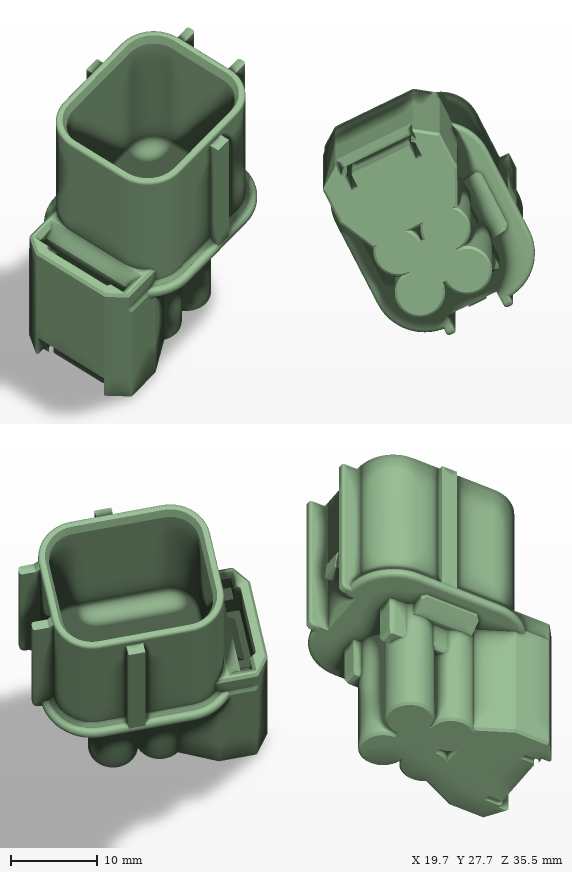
import cadquery as cq
import math

TOTAL_HEIGHT = 35.5
FLANGE_BOTTOM = 15.45
FLANGE_TOP = 16.65
RIB_TOP = 34.58

SHROUD_WIDTH = 16.97
SHROUD_LENGTH = 20.27
SHROUD_RADIUS = 4.72
SHROUD_RIM_FILLET = 0.32
HALF_WIDTH = SHROUD_WIDTH / 2
HALF_LENGTH = SHROUD_LENGTH / 2
WALL_THICKNESS = 1.25
MOUTH_BEVEL_WIDTH = 0.45
MOUTH_BEVEL_DEPTH = 1.0
CAVITY_FLOOR_FILLET = 0.43
BEVEL_SHARE = 0.99

FLANGE_WIDTH = 19.7
FLANGE_OVERHANG = (FLANGE_WIDTH - SHROUD_WIDTH) / 2
FLANGE_EDGE_FILLET = 0.55
ROOT_BEVEL = 0.5

SIDE_RIB_BACK = 2.3
SIDE_RIB_FRONT = 0.32
SIDE_RIB_BOTTOM = 16.33
SIDE_RIB_REACH = 9.73
BACK_RIB_INNER = 3.2
BACK_RIB_OUTER = 4.3
BACK_END = 12.53
BACK_RIB_TIP_FILLET = 0.32
BACK_RIB_FOOT_FILLET = 0.78
BACK_RIB_ROOT_BEVEL = 0.5

LUG_WIDTH = 2.3
LUG_END = 11.7
LUG_BOTTOM = 21.3
LUG_NOSE_TOP = 23.43
LUG_TOP = 25.55
LUG_NOSE_TAPER = 0.2

BARREL_DIAMETER = 5.82
BARREL_X = 3.05
BARREL_Y = 2.77
BOTTOM_BEVEL = 0.3

POST_BOTTOM = 10.33
POST_REACH = 5.4
POST_TIP_HEIGHT = 0.57
POST_TIP_INSET = 0.3
POST_CORNER_LENGTH = 0.55
POST_CORNER_DEPTH = 0.18
BACK_POST_SPAN = (4.6, 6.75)
MIDDLE_POST_SPAN = (-0.92, 0.95)

WEDGE_REACH = 8.02
WEDGE_ROOT = 6.05
WEDGE_LENGTH = 7.67
WEDGE_EDGE_HEIGHT = 0.35
WEDGE_BOTTOM = 13.8
WEDGE_END_BEVEL = 0.45

TOTAL_LENGTH = 27.7
HOUSING_TOP = 19.25
HOUSING_FRONT = BACK_END - TOTAL_LENGTH
HOUSING_HALF_WIDTH = 7.6
HOUSING_NOSE_HALF_WIDTH = 5.08
HOUSING_CORNER_Y = -13.35
HOUSING_SIDE_BACK = -8.85
HOUSING_NECK_HALF_WIDTH = 5.45
HOUSING_NECK_Y = -4.45
HOUSING_VERTICAL_FILLET = 0.35
COLLAR_INSET = 0.3
COLLAR_STEP_HEIGHT = 0.57
COLLAR_BACK = -7.1
COLLAR_TOP_BEVEL = 0.32

POCKET_HALF_WIDTH = 6.15
POCKET_FRONT = -13.15
POCKET_FLOOR = 16.33
POCKET_SIDE_BEVEL = 0.57
POCKET_FRONT_BEVEL = 0.35
RAMP_TOP_Y = -10.22
RAMP_FOOT_Y = -11.82
RAMP_FOOT_Z = 17.8
SLOT_HALF_WIDTH = 4.58
SLOT_FRONT = -13.9
SLOT_CORNER_RADIUS = 0.43
TONGUE_HALF_WIDTH = 3.75
TONGUE_FRONT = -13.65
TONGUE_TOP = 14.9
TONGUE_FILLET = 0.25
GUSSET_WIDTH = 5.45
GUSSET_SIZE = 1.05
WINDOW_HALF_WIDTH = 4.95
WINDOW_HEIGHT = 3.45


def box(x_min, x_max, y_min, y_max, z_min, z_max):
    """Block given by its limits on each axis."""
    size = (x_max - x_min, y_max - y_min, z_max - z_min)
    return cq.Workplane("XY").box(*size, centered=False).translate((x_min, y_min, z_min))


def rounded_block(margin, z_min, z_max):
    """Block with the shroud's outline moved outward by margin."""
    return (
        cq.Workplane("XY")
        .workplane(offset=z_min)
        .rect(SHROUD_WIDTH + 2 * margin, SHROUD_LENGTH + 2 * margin)
        .extrude(z_max - z_min)
        .edges("|Z")
        .fillet(SHROUD_RADIUS + margin)
    )


def side_profile(points, x_min, x_max):
    """Prism along X with the given (y, z) outline."""
    return cq.Workplane("YZ").workplane(offset=x_min).polyline(points).close().extrude(x_max - x_min)


def mirrored_pair(solid):
    """The solid together with its mirror image across X = 0."""
    return solid.union(solid.mirror("YZ"))


def make_shroud():
    return rounded_block(0, FLANGE_BOTTOM, TOTAL_HEIGHT).faces(">Z").edges().fillet(SHROUD_RIM_FILLET)


def make_flange():
    rim = rounded_block(FLANGE_OVERHANG, FLANGE_BOTTOM, FLANGE_TOP)
    rim = rim.faces("<Z or >Z").edges().fillet(FLANGE_EDGE_FILLET)
    root = rounded_block(ROOT_BEVEL, FLANGE_TOP, FLANGE_TOP + ROOT_BEVEL)
    root = root.faces(">Z").edges().chamfer(ROOT_BEVEL * BEVEL_SHARE)
    flange = rim.union(root)
    back_gap = box(
        -BACK_RIB_INNER, BACK_RIB_INNER, HALF_LENGTH, BACK_END, FLANGE_BOTTOM, FLANGE_TOP + ROOT_BEVEL
    )
    return flange.cut(back_gap)


def make_cavity():
    cavity = rounded_block(-WALL_THICKNESS, FLANGE_TOP, TOTAL_HEIGHT)
    cavity = cavity.faces("<Z").edges().fillet(CAVITY_FLOOR_FILLET)
    mouth = rounded_block(
        MOUTH_BEVEL_WIDTH - WALL_THICKNESS, TOTAL_HEIGHT - MOUTH_BEVEL_DEPTH, TOTAL_HEIGHT
    )
    mouth = mouth.faces("<Z").edges().chamfer(MOUTH_BEVEL_DEPTH * BEVEL_SHARE, MOUTH_BEVEL_WIDTH)
    return cavity.union(mouth)


def make_side_ribs():
    inner_x = HALF_WIDTH - WALL_THICKNESS / 2
    return mirrored_pair(
        box(inner_x, SIDE_RIB_REACH, SIDE_RIB_FRONT, SIDE_RIB_BACK, SIDE_RIB_BOTTOM, RIB_TOP)
    )


def make_back_ribs():
    root_y = HALF_LENGTH - WALL_THICKNESS / 2
    outline = [
        (root_y, FLANGE_BOTTOM),
        (BACK_END, FLANGE_BOTTOM),
        (BACK_END, RIB_TOP),
        (HALF_LENGTH + BACK_RIB_ROOT_BEVEL, RIB_TOP),
        (HALF_LENGTH, RIB_TOP + BACK_RIB_ROOT_BEVEL),
        (root_y, RIB_TOP + BACK_RIB_ROOT_BEVEL),
    ]
    rib = side_profile(outline, BACK_RIB_INNER, BACK_RIB_OUTER)
    rib = rib.edges(">Y and <Z").fillet(BACK_RIB_FOOT_FILLET)
    rib = rib.faces(">Y").edges("|Z").fillet(BACK_RIB_TIP_FILLET)
    return mirrored_pair(rib)


def make_lug():
    root_y = HALF_LENGTH - WALL_THICKNESS / 2
    outline = [
        (root_y, LUG_BOTTOM),
        (LUG_END, LUG_BOTTOM),
        (LUG_END - LUG_NOSE_TAPER, LUG_NOSE_TOP),
        (HALF_LENGTH, LUG_TOP),
        (root_y, LUG_TOP),
    ]
    return side_profile(outline, -LUG_WIDTH / 2, LUG_WIDTH / 2)


def make_barrels():
    barrel = cq.Workplane("XY").circle(BARREL_DIAMETER / 2).extrude(FLANGE_TOP)
    barrel = barrel.faces("<Z").edges().chamfer(BOTTOM_BEVEL)
    barrels = box(-BARREL_X, BARREL_X, -BARREL_Y, BARREL_Y, 0, FLANGE_TOP)
    for x in (-BARREL_X, BARREL_X):
        for y in (-BARREL_Y, BARREL_Y):
            barrels = barrels.union(barrel.translate((x, y, 0)))
    return barrels


def make_post(outline):
    """Pair of upright posts with the given plan outline and a tapered tip."""
    tip_angle = math.degrees(math.atan2(POST_TIP_INSET, POST_TIP_HEIGHT))
    tip_start = POST_BOTTOM + POST_TIP_HEIGHT
    base_plane = cq.Workplane("XY", origin=(0, 0, tip_start))
    shaft = base_plane.polyline(outline).close().extrude(FLANGE_TOP - tip_start)
    tip = base_plane.polyline(outline).close().extrude(-POST_TIP_HEIGHT, taper=tip_angle)
    return mirrored_pair(shaft.union(tip))


def make_posts():
    y_min, y_max = MIDDLE_POST_SPAN
    middle_post = make_post(
        [(BARREL_X, y_min), (POST_REACH, y_min), (POST_REACH, y_max), (BARREL_X, y_max)]
    )
    y_min, y_max = BACK_POST_SPAN
    back_post = make_post(
        [
            (BARREL_X, y_min),
            (POST_REACH, y_min),
            (POST_REACH, y_max - POST_CORNER_LENGTH),
            (POST_REACH - POST_CORNER_DEPTH, y_max),
            (BARREL_X, y_max),
        ]
    )
    return middle_post.union(back_post)


def make_wedges():
    outline = [
        (BARREL_X, FLANGE_TOP),
        (WEDGE_ROOT, FLANGE_TOP),
        (WEDGE_REACH, FLANGE_BOTTOM),
        (WEDGE_REACH, FLANGE_BOTTOM - WEDGE_EDGE_HEIGHT),
        (WEDGE_ROOT, WEDGE_BOTTOM),
        (BARREL_X, WEDGE_BOTTOM),
    ]
    wedge = cq.Workplane("XZ").polyline(outline).close().extrude(WEDGE_LENGTH / 2, both=True)
    wedge = wedge.faces(">X").edges("|Z").chamfer(WEDGE_END_BEVEL)
    return mirrored_pair(wedge)


def corner_slope():
    """Change in Y per unit of X along the housing's slanted front corners."""
    return (HOUSING_CORNER_Y - HOUSING_FRONT) / (HOUSING_HALF_WIDTH - HOUSING_NOSE_HALF_WIDTH)


def housing_outline(half_width, back_points):
    """Symmetric housing outline; back_points run along the +X side from the back to the front."""
    corner_y = HOUSING_FRONT + (half_width - HOUSING_NOSE_HALF_WIDTH) * corner_slope()
    right = back_points + [(half_width, corner_y), (HOUSING_NOSE_HALF_WIDTH, HOUSING_FRONT)]
    left = [(-x, y) for x, y in reversed(right)]
    return cq.Workplane("XY").polyline(right + left).close()


def round_front_corners(block):
    """Round the upright edges of the slanted front corners."""
    front_region = cq.selectors.BoxSelector(
        (-HOUSING_HALF_WIDTH - 0.35, HOUSING_FRONT - 0.35, 0),
        (HOUSING_HALF_WIDTH + 0.35, HOUSING_CORNER_Y + 0.35, HOUSING_TOP),
    )
    return block.edges("|Z").edges(front_region).fillet(HOUSING_VERTICAL_FILLET)


def make_housing_base():
    back = [(HOUSING_NECK_HALF_WIDTH, HOUSING_NECK_Y), (HOUSING_HALF_WIDTH, HOUSING_SIDE_BACK)]
    base = housing_outline(HOUSING_HALF_WIDTH, back).extrude(FLANGE_TOP)
    base = round_front_corners(base)
    base = base.faces("<Z").edges().chamfer(BOTTOM_BEVEL)
    slope_outline = [
        (HOUSING_HALF_WIDTH, FLANGE_TOP - COLLAR_STEP_HEIGHT),
        (HOUSING_HALF_WIDTH, FLANGE_TOP),
        (HOUSING_HALF_WIDTH - COLLAR_INSET, FLANGE_TOP),
    ]
    slope = cq.Workplane("XZ").polyline(slope_outline).close().extrude(-HOUSING_FRONT)
    return base.cut(mirrored_pair(slope))


def make_housing_collar():
    half_width = HOUSING_HALF_WIDTH - COLLAR_INSET
    collar = housing_outline(half_width, [(half_width, COLLAR_BACK)]).extrude(HOUSING_TOP - FLANGE_BOTTOM)
    collar = round_front_corners(collar).translate((0, 0, FLANGE_BOTTOM))
    return collar.faces(">Z").edges("not >Y").chamfer(COLLAR_TOP_BEVEL)


def make_pocket():
    outline = [
        (RAMP_TOP_Y, HOUSING_TOP),
        (RAMP_FOOT_Y, RAMP_FOOT_Z),
        (RAMP_FOOT_Y, POCKET_FLOOR),
        (POCKET_FRONT, POCKET_FLOOR),
        (POCKET_FRONT, HOUSING_TOP),
    ]
    pocket = side_profile(outline, -POCKET_HALF_WIDTH, POCKET_HALF_WIDTH)
    ramp_slope = (RAMP_TOP_Y - RAMP_FOOT_Y) / (HOUSING_TOP - RAMP_FOOT_Z)
    mouth_front = POCKET_FRONT - POCKET_FRONT_BEVEL
    bevel_back = RAMP_TOP_Y - ramp_slope * POCKET_SIDE_BEVEL
    mouth_centre = (mouth_front + RAMP_TOP_Y) / 2
    bevel_centre = (POCKET_FRONT + bevel_back) / 2
    mouth = (
        cq.Workplane("XY", origin=(0, mouth_centre, HOUSING_TOP))
        .rect(2 * (POCKET_HALF_WIDTH + POCKET_SIDE_BEVEL), RAMP_TOP_Y - mouth_front)
        .workplane(offset=-POCKET_SIDE_BEVEL)
        .center(0, bevel_centre - mouth_centre)
        .rect(2 * POCKET_HALF_WIDTH, bevel_back - POCKET_FRONT)
        .loft(ruled=True)
    )
    return pocket.union(mouth)


def make_slot():
    slot = box(-SLOT_HALF_WIDTH, SLOT_HALF_WIDTH, SLOT_FRONT, RAMP_FOOT_Y, 0, HOUSING_TOP)
    return slot.faces("<Y").edges("|Z").fillet(SLOT_CORNER_RADIUS)


def make_window():
    return box(-WINDOW_HALF_WIDTH, WINDOW_HALF_WIDTH, HOUSING_FRONT, SLOT_FRONT, 0, WINDOW_HEIGHT)


def make_tongue():
    tongue = box(-TONGUE_HALF_WIDTH, TONGUE_HALF_WIDTH, TONGUE_FRONT, RAMP_FOOT_Y, 0, TONGUE_TOP)
    tongue = tongue.faces("<Y").edges("|Z").fillet(TONGUE_FILLET)
    gusset_outline = [
        (RAMP_FOOT_Y, TONGUE_TOP),
        (RAMP_FOOT_Y - GUSSET_SIZE, TONGUE_TOP),
        (RAMP_FOOT_Y, TONGUE_TOP + GUSSET_SIZE),
    ]
    return tongue.union(side_profile(gusset_outline, -GUSSET_WIDTH / 2, GUSSET_WIDTH / 2))


body = make_barrels().union(make_housing_base())
body = body.union(make_housing_collar())
body = body.cut(make_pocket()).cut(make_slot()).cut(make_window()).union(make_tongue())
for feature in (make_posts(), make_wedges(), make_flange(), make_shroud()):
    body = body.union(feature)
for feature in (make_side_ribs(), make_back_ribs(), make_lug()):
    body = body.union(feature)
result = body.cut(make_cavity())